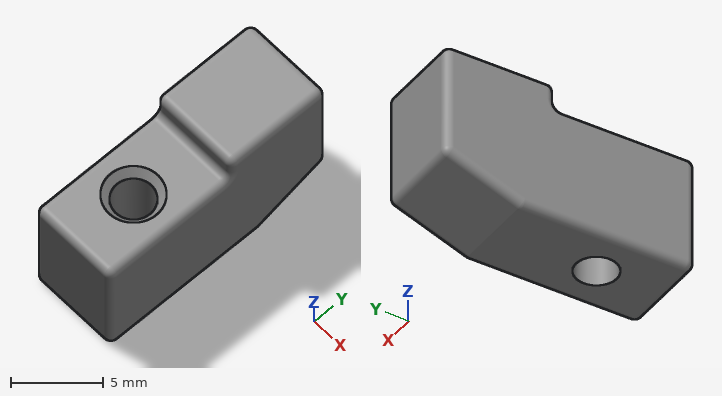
import cadquery as cq
import math

width = 6.0
length = 16.0
height = 9.0
edge_radius = 0.5

shelf_length = 9.0
shelf_height = 7.4
slope_start = 11.0
slope_angle = 20.0
slope_rise = (length - slope_start) * math.tan(math.radians(slope_angle))

hole_y = 4.5
hole_diameter = 2.6
countersink_diameter = 3.6
countersink_angle = 90.0


def make_body():
    """Extrude the stepped side profile across the width."""
    profile = [
        (0, 0),
        (slope_start, 0),
        (length, slope_rise),
        (length, height),
        (shelf_length, height),
        (shelf_length, shelf_height),
        (0, shelf_height),
    ]
    return cq.Workplane("YZ").polyline(profile).close().extrude(width / 2, both=True)


def round_edges(body):
    """Round every edge, including the inner corner of the step."""
    return body.edges().fillet(edge_radius)


def cut_hole(body):
    """Cut the countersunk hole from the shelf down through the underside."""
    return (
        body.copyWorkplane(cq.Workplane("XY", origin=(0, hole_y, shelf_height)))
        .cskHole(hole_diameter, countersink_diameter, countersink_angle)
    )


result = cut_hole(round_edges(make_body()))